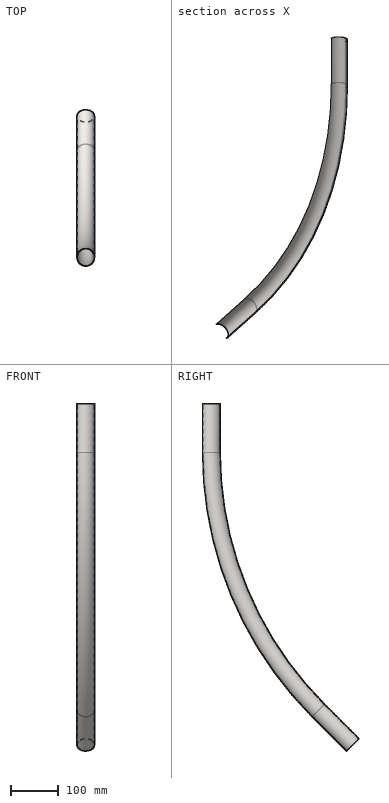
import cadquery as cq
import math

outer_diameter = 38.0
inner_diameter = 35.0
overall_height = 726.0
leg_length = 101.5
bend_angle = 45.0

sin_bend = math.sin(math.radians(bend_angle))
cos_bend = math.cos(math.radians(bend_angle))

end_face_drop = outer_diameter / 2 * sin_bend
bend_radius = (overall_height - leg_length * (1 + cos_bend) - end_face_drop) / sin_bend


def bend_point(angle):
    """Centreline point (y, z) after turning through the given angle in degrees."""
    turn = math.radians(angle)
    return (
        bend_radius * (1 - math.cos(turn)),
        -leg_length - bend_radius * math.sin(turn),
    )


bend_end_y, bend_end_z = bend_point(bend_angle)
lower_end = (bend_end_y + leg_length * sin_bend, bend_end_z - leg_length * cos_bend)
centreline = (
    cq.Workplane("YZ")
    .moveTo(0, 0)
    .lineTo(0, -leg_length)
    .threePointArc(bend_point(bend_angle / 2), (bend_end_y, bend_end_z))
    .lineTo(*lower_end)
)

result = (
    cq.Workplane("XY")
    .circle(outer_diameter / 2)
    .circle(inner_diameter / 2)
    .sweep(centreline)
)